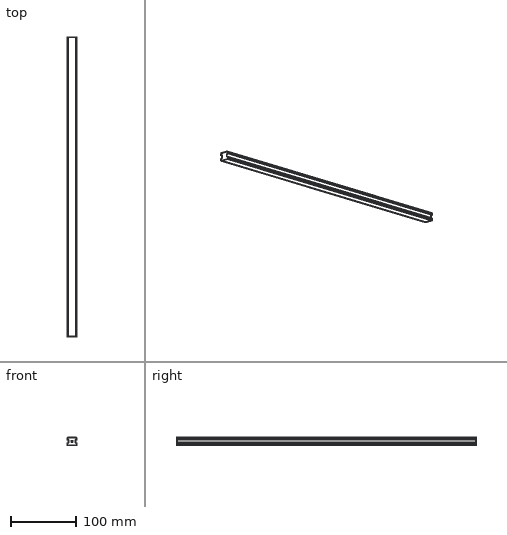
import cadquery as cq

rail_width = 15.0
rail_length = 460.0
rail_height = 12.5
half_width = rail_width / 2

base_chamfer = 0.65
base_side_top = 2.62
waist_half_width = 5.5
shoulder_top = base_side_top + (half_width - waist_half_width)

waist_top = 6.3
nose_bottom = 9.0
nose_top = 10.38
lower_track_sagitta = 0.9
upper_track_top = 11.4
upper_track_half_width = 6.8
upper_track_sagitta = 0.2
top_half_width = 6.1

hole_pitch = 60.0
hole_end_distance = 20.0
hole_diameter = 7.5
plug_thickness = 2.0

end_hole_diameter = 2.5
end_hole_depth = 3.0
end_hole_height = 6.25


def make_rail_body():
    """Extrude the symmetric rail profile along Y, centred on the origin in X and Y."""
    half_profile = (
        cq.Workplane("XZ")
        .lineTo(half_width - base_chamfer, 0)
        .lineTo(half_width, base_chamfer)
        .lineTo(half_width, base_side_top)
        .lineTo(waist_half_width, shoulder_top)
        .lineTo(waist_half_width, waist_top)
        .sagittaArc((half_width, nose_bottom), lower_track_sagitta)
        .lineTo(half_width, nose_top)
        .sagittaArc((upper_track_half_width, upper_track_top), upper_track_sagitta)
        .lineTo(top_half_width, rail_height)
        .lineTo(0, rail_height)
    )
    return half_profile.mirrorY().extrude(rail_length / 2, both=True).clean()


def add_flush_plugs(body):
    """Bore the mounting holes and fill each one with a plug, leaving its rim on the top face."""
    hole_count = round((rail_length - 2 * hole_end_distance) / hole_pitch) + 1
    plugs = (
        cq.Workplane("XY", origin=(0, 0, rail_height))
        .rarray(1, hole_pitch, 1, hole_count)
        .circle(hole_diameter / 2)
        .extrude(-plug_thickness)
    )
    return body.cut(plugs).union(plugs, clean=False)


def cut_end_hole(body):
    hole = (
        cq.Workplane("XZ", origin=(0, -rail_length / 2, end_hole_height))
        .circle(end_hole_diameter / 2)
        .extrude(-end_hole_depth)
    )
    return body.cut(hole, clean=False)


rail_body = cut_end_hole(make_rail_body())
result = add_flush_plugs(rail_body).solids()